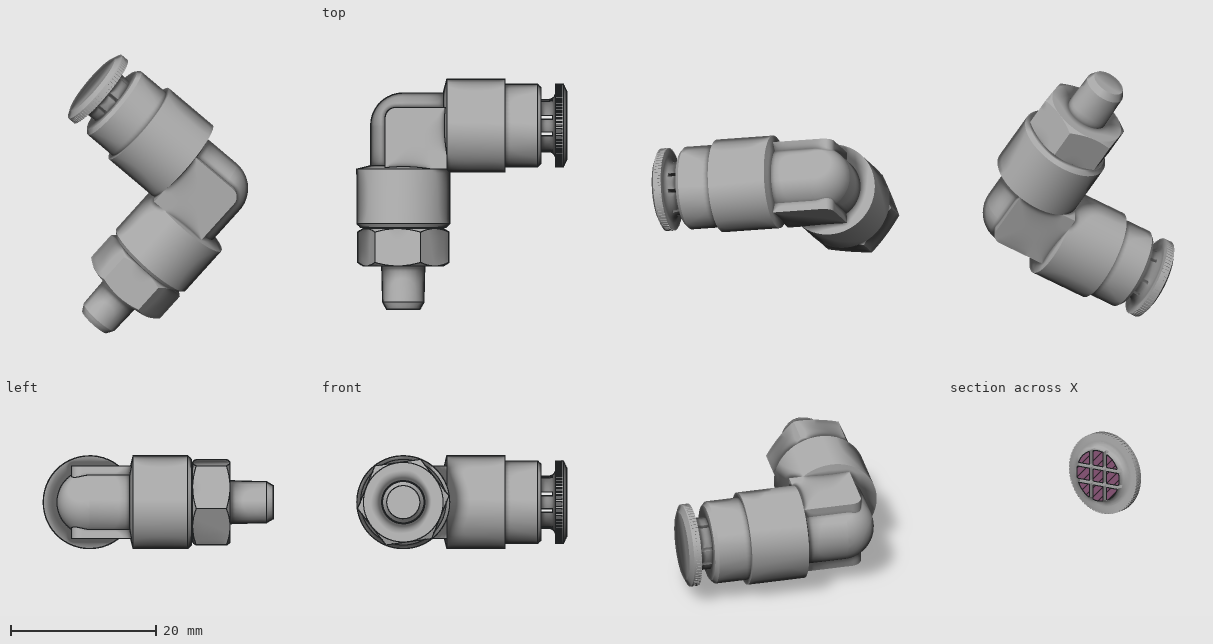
import cadquery as cq
import math


elbow_radius = 4.5
sleeve_radius = 6.4
sleeve_rim_start = 5.5
sleeve_start = 6.0
chamfer = 0.5

web_outer = 2.5
web_thickness = 10.02
web_corner_radius = 1.5

tube_sleeve_end = 14.0
nose_radius = 5.7
nose_end = 19.0

collar_neck_radius = 3.6
flare_radius = 0.92
flange_start = 20.95
flange_radius = 5.7
flange_cone_start = 22.03
flange_end = 22.5
flange_face_radius = 4.7
flare_start = flange_start - flare_radius

slot_offset = 1.15
slot_width = 0.48
slot_end = 20.5

knurl_count = 72
knurl_end = 21.85
knurl_depth = 0.1
knurl_width = 0.2

stud_sleeve_end = 14.0
washer_neck_radius = 4.8
hex_start = 14.17
hex_end = 19.35
hex_across_flats = 11.0
hex_turn = 8
hex_face_radius = 5.48
hex_bevel_angle = 30
stud_root_radius = 2.98
stud_taper_end = 24.3
stud_taper_radius = 2.85
stud_tip_radius = 2.28
stud_end = 25.3


def turned_x(outline):
    """Solid of revolution about X from (x, radius) points on the axis and above it."""
    return cq.Workplane("XY").polyline(outline).close().revolve(360, (0, 0), (1, 0))


def turned_y(outline):
    """Solid of revolution about Y from (distance along -Y, radius) points."""
    points = [(radius, -distance) for distance, radius in outline]
    return cq.Workplane("XY").polyline(points).close().revolve(360, (0, 0), (0, 1))


def make_elbow():
    """Round corner with the square web across it."""
    corner = cq.Workplane("XY").sphere(elbow_radius)
    web_side = web_outer + sleeve_start
    web_centre = (sleeve_start - web_outer) / 2
    web = (
        cq.Workplane("XY")
        .box(web_side, web_side, web_thickness)
        .translate((web_centre, -web_centre, 0))
        .edges("|Z and <X and >Y")
        .fillet(web_corner_radius)
    )
    return corner.union(web)


def make_tube_arm():
    """Pipe, sleeve and chamfered nose along +X."""
    return turned_x([
        (0, 0),
        (0, elbow_radius),
        (sleeve_rim_start, elbow_radius),
        (sleeve_start, sleeve_radius),
        (tube_sleeve_end, sleeve_radius),
        (tube_sleeve_end, nose_radius),
        (nose_end - chamfer, nose_radius),
        (nose_end, nose_radius - chamfer),
        (nose_end, 0),
    ])


def make_collar():
    """Flared and slotted neck that carries the knurled flange."""
    flare_middle = (
        flare_start + flare_radius * math.sin(math.radians(45)),
        collar_neck_radius + flare_radius * (1 - math.cos(math.radians(45))),
    )
    collar = (
        cq.Workplane("XY")
        .moveTo(nose_end, 0)
        .lineTo(nose_end, collar_neck_radius)
        .lineTo(flare_start, collar_neck_radius)
        .threePointArc(flare_middle, (flange_start, collar_neck_radius + flare_radius))
        .lineTo(flange_start, flange_radius)
        .lineTo(flange_cone_start, flange_radius)
        .lineTo(flange_end, flange_face_radius)
        .lineTo(flange_end, 0)
        .close()
        .revolve(360, (0, 0), (1, 0))
    )
    return collar.cut(make_slots()).cut(make_knurl())


def make_slots():
    """Two slots straight through along Y and two along Z."""
    length = slot_end - nose_end
    middle = (nose_end + slot_end) / 2
    slots = cq.Workplane("XY")
    for side in (-1, 1):
        along_y = cq.Workplane("XY").box(length, 2 * flange_radius, slot_width)
        along_z = cq.Workplane("XY").box(length, slot_width, 2 * flange_radius)
        slots = slots.union(along_y.translate((middle, 0, side * slot_offset)))
        slots = slots.union(along_z.translate((middle, side * slot_offset, 0)))
    return slots


def make_knurl():
    """Grooves around the flange rim, one of them on the +Y side."""
    pitch = 360 / knurl_count
    groove = (
        cq.Workplane("XY")
        .box(knurl_end - flange_start, 2 * knurl_depth, knurl_width)
        .translate(((flange_start + knurl_end) / 2, flange_radius, 0))
        .val()
    )
    turns = [index * pitch for index in range(knurl_count)]
    grooves = [groove.rotate((0, 0, 0), (1, 0, 0), turn) for turn in turns]
    return cq.Workplane("XY").newObject([cq.Compound.makeCompound(grooves)])


def make_stud_arm():
    """Pipe and chamfered sleeve along -Y, with the short neck up to the hexagon."""
    return turned_y([
        (0, 0),
        (0, elbow_radius),
        (sleeve_rim_start, elbow_radius),
        (sleeve_start, sleeve_radius),
        (stud_sleeve_end - chamfer, sleeve_radius),
        (stud_sleeve_end, sleeve_radius - chamfer),
        (stud_sleeve_end, washer_neck_radius),
        (hex_start, washer_neck_radius),
        (hex_start, 0),
    ])


def make_hexagon():
    """Hexagon with its corners bevelled at both ends."""
    corner_radius = hex_across_flats / 2 / math.cos(math.radians(30))
    bevel_length = (corner_radius - hex_face_radius) * math.tan(math.radians(hex_bevel_angle))
    prism = (
        cq.Workplane("XZ", origin=(0, -hex_start, 0))
        .polygon(6, 2 * corner_radius)
        .extrude(hex_end - hex_start)
        .rotate((0, 0, 0), (0, -1, 0), hex_turn)
    )
    bevelled_blank = turned_y([
        (hex_start, 0),
        (hex_start, hex_face_radius),
        (hex_start + bevel_length, corner_radius),
        (hex_end - bevel_length, corner_radius),
        (hex_end, hex_face_radius),
        (hex_end, 0),
    ])
    return prism.intersect(bevelled_blank)


def make_stud():
    """Tapered stud with a conical tip."""
    return turned_y([
        (hex_end, 0),
        (hex_end, stud_root_radius),
        (stud_taper_end, stud_taper_radius),
        (stud_end, stud_tip_radius),
        (stud_end, 0),
    ])


result = (
    make_elbow()
    .union(make_tube_arm())
    .union(make_collar())
    .union(make_stud_arm())
    .union(make_hexagon())
    .union(make_stud())
)